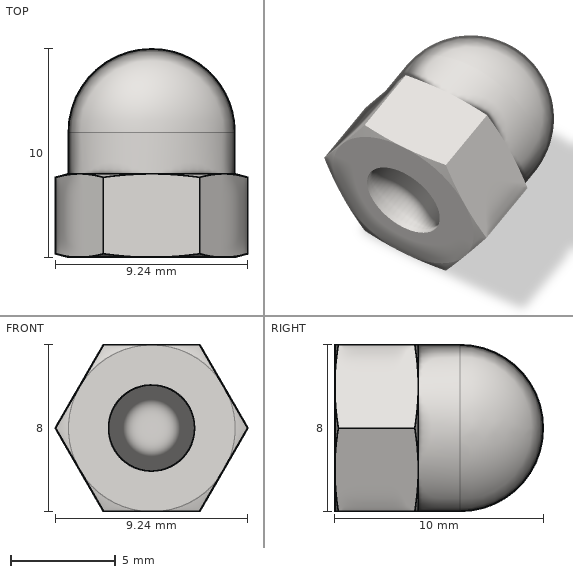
import cadquery as cq
import math

across_flats = 8.0
hex_height = 4.0
total_height = 10.0
bore_diameter = 4.134
bore_depth = 7.5
chamfer_angle = 15.0

across_corners = across_flats / math.cos(math.radians(30))
body_radius = across_flats / 2
corner_radius = across_corners / 2
chamfer_height = (corner_radius - body_radius) * math.tan(math.radians(chamfer_angle))
dome_base = total_height - body_radius


def revolve_about_y(profile):
    """Turn a closed half-profile in the XY plane once around the Y axis."""
    return profile.close().revolve(360, (0, 0), (0, 1))


def make_hex():
    """Hexagon with corners on the X axis, its corners chamfered at both ends."""
    prism = cq.Workplane("XZ").polygon(6, across_corners).extrude(-hex_height)
    chamfer_envelope = revolve_about_y(
        cq.Workplane("XY")
        .lineTo(body_radius, 0)
        .lineTo(corner_radius, chamfer_height)
        .lineTo(corner_radius, hex_height - chamfer_height)
        .lineTo(body_radius, hex_height)
        .lineTo(0, hex_height)
    )
    return prism.intersect(chamfer_envelope)


def make_cap():
    """Cylindrical collar closed by a hemispherical dome."""
    arc_offset = body_radius * math.sqrt(0.5)
    return revolve_about_y(
        cq.Workplane("XY")
        .moveTo(0, hex_height)
        .lineTo(body_radius, hex_height)
        .lineTo(body_radius, dome_base)
        .threePointArc((arc_offset, dome_base + arc_offset), (0, total_height))
    )


def make_bore():
    """Blind, flat-bottomed bore from the bearing face."""
    return cq.Workplane("XZ").circle(bore_diameter / 2).extrude(-bore_depth)


result = make_hex().union(make_cap()).cut(make_bore())